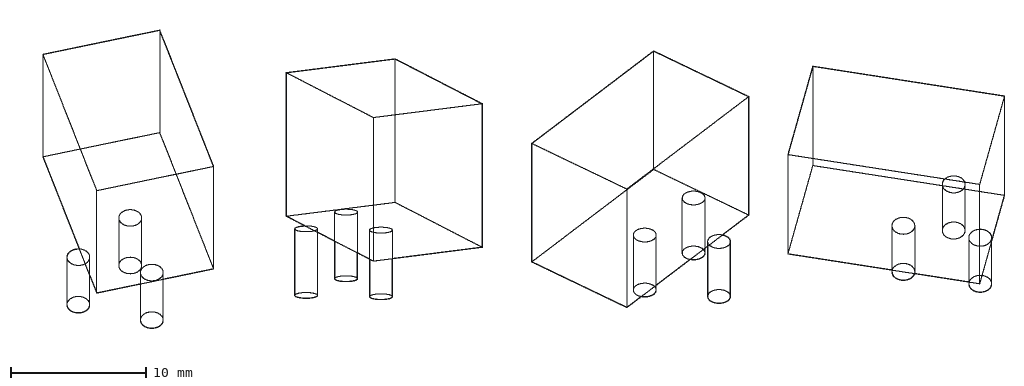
import cadquery as cq

housing_length = 14.5
housing_depth = 9.0
housing_height = 11.0

overall_height = 16.1
pin_diameter = 1.69
pin_length = overall_height - housing_height
front_pin_overhang = 1.15

left_pin_x = 7.8
front_pin_x = 10.6
right_pin_x = 13.6
back_row_y = housing_depth / 2
front_row_y = pin_diameter / 2 - front_pin_overhang

pin_centers = [
    (left_pin_x, back_row_y),
    (front_pin_x, front_row_y),
    (right_pin_x, back_row_y),
]


def make_housing():
    """Plain rectangular block standing on the plane Z = 0."""
    return cq.Workplane("XY").box(housing_length, housing_depth, housing_height, centered=False)


def make_pin(x, y):
    """Straight round pin hanging down from the plane of the housing's underside."""
    return cq.Workplane("XY").center(x, y).circle(pin_diameter / 2).extrude(-pin_length)


housing = make_housing()
pins = [make_pin(x, y) for x, y in pin_centers]

result = cq.Compound.makeCompound([housing.val(), *[pin.val() for pin in pins]])